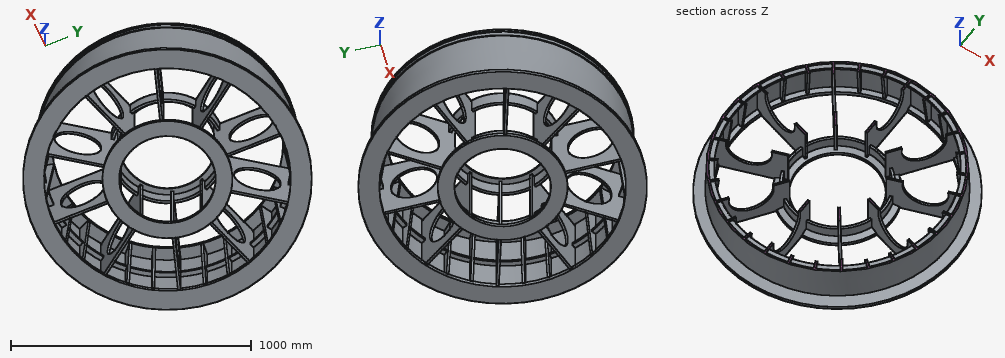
import cadquery as cq

height = 375.0
flange_radius = 600.0
flange_edge_height = 15.0
flange_root_height = 25.0

drum_base_radius = 550.0
drum_top_radius = 542.0
drum_inner_radius = 534.0
lip_inner_radius = 538.0
band_radius = 546.0
band_bottom = 329.0
band_top = 355.0
base_inner_radius = 512.0
base_inner_height = 19.0
shelf_inner_radius = 480.0
shelf_thickness = 15.0
shelf_top = band_top

plate_thickness = 11.0
rib_foot_radius = 516.0
mid_ring_height = 180.0
spokes_apart = 3

bore_radius = 200.0
hub_radius = 240.0
hub_wall = 12.0
hub_base_radius = 270.0
hub_top = 337.0
hub_plate = 6.0
upper_collar_bottom = 271.0
lower_collar_top = 75.0

spoke_count = 10
spoke_inner_radius = 212.0
hole_radius = 100.0
hole_center_radius = 382.0
hole_center_height = hub_top / 2

collar_inner_radius = hub_radius - hub_wall
radial_count = spoke_count * spokes_apart
weld_radius = (drum_inner_radius + drum_top_radius) / 2
weld_bottom = flange_edge_height / 2


def revolve(points):
    """Turn a closed (radius, height) outline about Z."""
    return cq.Workplane("XZ").polyline(points).close().revolve(360, (0, 0, 0), (0, 1, 0))


def radial_plate(points):
    """Upright plate in the XZ plane, centred on Y = 0, from its (radius, height) outline."""
    return cq.Workplane("XZ").polyline(points).close().extrude(plate_thickness / 2, both=True)


def make_drum():
    return revolve([
        (base_inner_radius, 0),
        (flange_radius, 0),
        (flange_radius, flange_edge_height),
        (drum_base_radius, flange_root_height),
        (drum_top_radius, band_bottom),
        (band_radius, band_bottom),
        (band_radius, band_top),
        (drum_top_radius, band_top),
        (drum_top_radius, height),
        (lip_inner_radius, height),
        (lip_inner_radius, shelf_top),
        (shelf_inner_radius, shelf_top),
        (shelf_inner_radius, shelf_top - shelf_thickness),
        (drum_inner_radius, shelf_top - shelf_thickness),
        (drum_inner_radius, flange_root_height),
        (base_inner_radius, base_inner_height),
    ])


def make_mid_ring():
    bottom = mid_ring_height - plate_thickness / 2
    ring = cq.Workplane("XY").circle(weld_radius).circle(base_inner_radius).extrude(plate_thickness)
    return ring.translate((0, 0, bottom))


def make_upper_collar():
    return revolve([
        (bore_radius, hub_top),
        (hub_radius, hub_top),
        (hub_radius, upper_collar_bottom),
        (collar_inner_radius, upper_collar_bottom),
        (collar_inner_radius, hub_top - hub_plate),
        (bore_radius, hub_top - hub_plate),
    ])


def make_lower_collar():
    return revolve([
        (bore_radius, 0),
        (hub_base_radius, 0),
        (hub_base_radius, flange_edge_height),
        (hub_radius, flange_root_height),
        (hub_radius, lower_collar_top),
        (collar_inner_radius, lower_collar_top),
        (collar_inner_radius, flange_root_height),
        (bore_radius, flange_edge_height),
    ])


def make_spoke():
    top = hub_top - hub_plate
    plate = radial_plate([
        (spoke_inner_radius, weld_bottom),
        (weld_radius, weld_bottom),
        (weld_radius, top),
        (spoke_inner_radius, top),
    ])
    hole = cq.Workplane("XZ").center(hole_center_radius, hole_center_height).circle(hole_radius)
    return plate.cut(hole.extrude(plate_thickness, both=True))


def make_rib():
    """Short rib whose inner edge leans from its foot inward to the shelf bore."""
    top = shelf_top - shelf_thickness
    return radial_plate([
        (rib_foot_radius, weld_bottom),
        (weld_radius, weld_bottom),
        (weld_radius, top),
        (shelf_inner_radius, top),
        (rib_foot_radius, base_inner_height),
    ])


result = make_drum().union(make_mid_ring()).union(make_upper_collar()).union(make_lower_collar())

spoke = make_spoke()
rib = make_rib()
for index in range(radial_count):
    radial = spoke if index % spokes_apart == 0 else rib
    angle = 90 + index * 360 / radial_count
    result = result.union(radial.rotate((0, 0, 0), (0, 0, 1), angle))